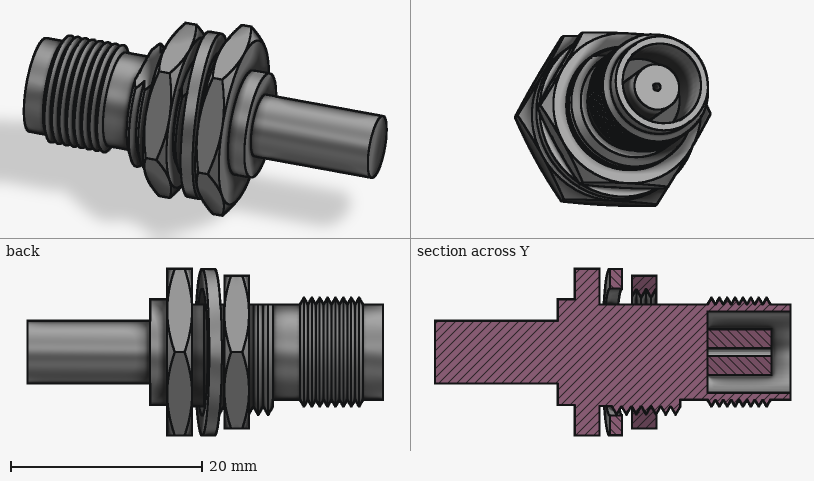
import cadquery as cq
import math


THREAD_FLANK = math.radians(60)

body_radius = 5.0
overall_length = 37.24
coupling_thread_start = 2.1
coupling_thread_length = 6.6
coupling_thread_count = 8
panel_thread_start = 11.53
panel_thread_length = 7.2
panel_thread_count = 7
panel_root_radius = 5.7
panel_flat_height = body_radius
flange_start = 20.0
flange_thickness = 2.6
flange_across_flats = 17.46
collar_radius = 5.55
collar_length = 1.8
tube_radius = 3.3

socket_radius = 4.25
socket_depth = coupling_thread_start + coupling_thread_length
insulator_radius = 2.42
insulator_recess = 2.0
contact_hole_radius = 0.39

nut_start = 14.03
nut_thickness = 2.6
nut_across_flats = 16.0
corner_chamfer_angle = math.radians(30)

washer_outer_radius = flange_across_flats / 2
washer_bore_radius = 6.62
washer_thickness = 1.3
washer_center_x = 18.3
washer_tilt = 5.0

flange_end = flange_start + flange_thickness
collar_end = flange_end + collar_length
panel_thread_end = panel_thread_start + panel_thread_length


def rod(radius, start, end):
    """Cylinder along X between two stations."""
    return cq.Workplane("YZ", origin=(start, 0, 0)).circle(radius).extrude(end - start)


def thread(root_radius, start, length, count):
    """Solid rod with sharp V-shaped ridges around it."""
    pitch = length / count
    crest_radius = root_radius + pitch / 2 * math.tan(THREAD_FLANK)
    profile = cq.Workplane("XY").moveTo(start, 0).lineTo(start, root_radius)
    for ridge in range(count):
        ridge_start = start + ridge * pitch
        profile = profile.lineTo(ridge_start + pitch / 2, crest_radius)
        profile = profile.lineTo(ridge_start + pitch, root_radius)
    profile = profile.lineTo(start + length, 0).close()
    return profile.revolve(360, (0, 0, 0), (1, 0, 0))


def chamfered_hexagon(across_flats, start, thickness):
    """Hexagonal prism along X, corners on the Y axis, with both faces chamfered at the corners."""
    face_radius = across_flats / 2
    corner_radius = face_radius / math.cos(math.pi / 6)
    chamfer_depth = (corner_radius - face_radius) * math.tan(corner_chamfer_angle)
    end = start + thickness
    prism = cq.Workplane("YZ", origin=(start, 0, 0)).polygon(6, 2 * corner_radius).extrude(thickness)
    turned_envelope = (
        cq.Workplane("XY")
        .moveTo(start, 0)
        .lineTo(start, face_radius)
        .lineTo(start + chamfer_depth, corner_radius)
        .lineTo(end - chamfer_depth, corner_radius)
        .lineTo(end, face_radius)
        .lineTo(end, 0)
        .close()
        .revolve(360, (0, 0, 0), (1, 0, 0))
    )
    return prism.intersect(turned_envelope)


def make_panel_thread():
    return thread(panel_root_radius, panel_thread_start, panel_thread_length, panel_thread_count)


def make_connector_body():
    barrel = rod(body_radius, 0, panel_thread_start)
    coupling_thread = thread(
        body_radius, coupling_thread_start, coupling_thread_length, coupling_thread_count
    )
    neck = rod(panel_root_radius, panel_thread_end, flange_start)

    stock_width = 4 * panel_root_radius
    above_flat = cq.Workplane("XY", origin=(panel_thread_start, 0, panel_flat_height)).box(
        flange_start - panel_thread_start, stock_width, stock_width, centered=(False, True, False)
    )
    flatted_section = make_panel_thread().union(neck).cut(above_flat)

    flange = chamfered_hexagon(flange_across_flats, flange_start, flange_thickness)
    collar = rod(collar_radius, flange_end, collar_end)
    tube = rod(tube_radius, collar_end, overall_length)
    socket = rod(socket_radius, 0, socket_depth)
    outside = barrel.union(coupling_thread).union(flatted_section).union(flange)
    return outside.union(collar).union(tube).cut(socket)


def make_insulator():
    """Insulator standing on the socket floor, with the contact hole through it."""
    insulator = rod(insulator_radius, insulator_recess, socket_depth)
    return insulator.cut(rod(contact_hole_radius, insulator_recess, socket_depth))


def make_nut():
    """Hexagonal nut whose bore carries the matching panel thread."""
    return chamfered_hexagon(nut_across_flats, nut_start, nut_thickness).cut(make_panel_thread())


def make_washer():
    """Ring with bore and rim parallel to X, and its two faces tilted about Z."""
    reach = 2 * washer_outer_radius
    ring = (
        cq.Workplane("YZ", origin=(washer_center_x - washer_outer_radius, 0, 0))
        .circle(washer_outer_radius)
        .circle(washer_bore_radius)
        .extrude(2 * washer_outer_radius)
    )
    tilted_slab = (
        cq.Workplane("XY")
        .box(washer_thickness, 2 * reach, 2 * reach)
        .rotate((0, 0, 0), (0, 0, 1), washer_tilt)
        .translate((washer_center_x, 0, 0))
    )
    return ring.intersect(tilted_slab)


connector_body = make_connector_body()
insulator = make_insulator()
nut = make_nut()
washer = make_washer()

result = cq.Compound.makeCompound(
    [connector_body.val(), insulator.val(), nut.val(), washer.val()]
)